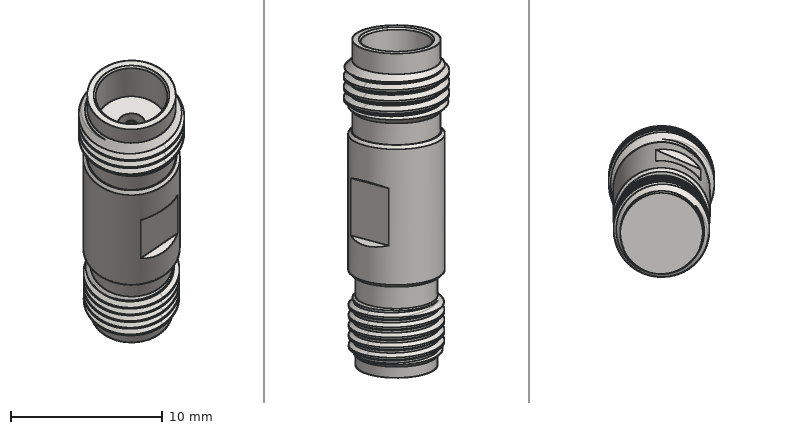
import cadquery as cq
import math

total_length = 22.74

lower_sleeve_radius = 2.73
lower_thread_radius = 6.35 / 2
lower_thread_root_radius = 2.83
lower_thread_pitch = 25.4 / 36
lower_thread_bottom = 0.77
lower_thread_top = 4.85
lower_groove_level = 3.2

body_radius = 3.21
body_bottom = 6.45
body_top = 16.37
body_chamfer = 0.22
flat_distance = 2.77
flat_cut_clearance = 0.3
flat_length = 4.0
flat_end_angle = 30

upper_sleeve_radius = 2.93
upper_thread_radius = 3.5
upper_thread_root_radius = 3.07
upper_thread_pitch = 0.75
upper_thread_bottom = 17.86
upper_thread_top = 21.3
upper_groove_level = 19.87

flank_angle = 30
crest_flat_in_pitches = 0.2
groove_overhang = 0.04

bore_radius = 2.37
bore_depth = 3.1
bore_chamfer = 0.13
line_radius = 1.85 / 2
line_depth = 1.0
contact_radius = 0.4
contact_chamfer = 0.08
contact_hole_radius = 0.23


def cylinder(radius, bottom, top):
    return cq.Workplane("XY").workplane(offset=bottom).circle(radius).extrude(top - bottom)


def thread_blank(sleeve_radius, crest_radius, bottom, top):
    """Crest cylinder with 45 degree ends running down to the sleeve."""
    return cylinder(crest_radius, bottom, top).faces("<Z or >Z").chamfer(crest_radius - sleeve_radius)


def groove_turn(crest_radius, root_radius, pitch, start):
    """One right-hand turn of the thread groove, starting on the +X side at the given height."""
    slope = math.tan(math.radians(flank_angle))
    crest_half_width = pitch * (1 - crest_flat_in_pitches) / 2
    root_half_width = crest_half_width - (crest_radius - root_radius) * slope
    outer_half_width = crest_half_width + groove_overhang * slope
    outer_radius = crest_radius + groove_overhang
    profile = cq.Workplane("XZ").polyline([
        (root_radius, start - root_half_width),
        (outer_radius, start - outer_half_width),
        (outer_radius, start + outer_half_width),
        (root_radius, start + root_half_width),
    ]).close()
    helix = cq.Wire.makeHelix(pitch, pitch, root_radius, cq.Vector(0, 0, start))
    return profile.sweep(cq.Workplane(obj=helix), isFrenet=True)


def threaded_band(sleeve_radius, crest_radius, root_radius, pitch, groove_level, bottom, top):
    """Thread whose groove is cut turn by turn and runs out past both ends of the blank."""
    band = thread_blank(sleeve_radius, crest_radius, bottom, top)
    turns_below = math.ceil((groove_level - bottom) / pitch)
    turns_above = math.ceil((top - groove_level) / pitch)
    for turn in range(-turns_below, turns_above):
        start = groove_level + turn * pitch
        band = band.cut(groove_turn(crest_radius, root_radius, pitch, start), clean=False)
    return band


def wrench_flat(side):
    """Pocket cutter with sloped ends; side is +1 for +X and -1 for -X."""
    middle = (body_bottom + body_top) / 2
    depth = body_radius + flat_cut_clearance - flat_distance
    floor_half = flat_length / 2
    mouth_half = floor_half + depth * math.tan(math.radians(flat_end_angle))
    return cq.Workplane("XZ").polyline([
        (side * flat_distance, middle - floor_half),
        (side * (flat_distance + depth), middle - mouth_half),
        (side * (flat_distance + depth), middle + mouth_half),
        (side * flat_distance, middle + floor_half),
    ]).close().extrude(body_radius, both=True)


def body():
    barrel = cylinder(body_radius, body_bottom, body_top).faces("<Z or >Z").chamfer(body_chamfer)
    for side in (-1, 1):
        barrel = barrel.cut(wrench_flat(side))
    return barrel


def mating_socket():
    """Chamfered bore with a coaxial recess around the hollow centre contact in its floor."""
    floor = total_length - bore_depth
    bore = cylinder(bore_radius, floor, total_length)
    lead_in = cq.Workplane("XY").workplane(offset=total_length).circle(bore_radius + bore_chamfer)
    lead_in = lead_in.workplane(offset=-bore_chamfer).circle(bore_radius).loft()
    recess = cylinder(line_radius, floor - line_depth, floor)
    contact = cylinder(contact_radius, floor - line_depth, floor).faces(">Z").chamfer(contact_chamfer)
    recess = recess.cut(contact)
    contact_hole = cylinder(contact_hole_radius, floor - line_depth, floor)
    return bore.union(lead_in).union(recess).union(contact_hole)


lower_thread = threaded_band(
    lower_sleeve_radius, lower_thread_radius, lower_thread_root_radius, lower_thread_pitch,
    lower_groove_level, lower_thread_bottom, lower_thread_top,
)
upper_thread = threaded_band(
    upper_sleeve_radius, upper_thread_radius, upper_thread_root_radius, upper_thread_pitch,
    upper_groove_level, upper_thread_bottom, upper_thread_top,
)
lower_sleeve = cylinder(lower_sleeve_radius, 0, body_bottom)
upper_sleeve = cylinder(upper_sleeve_radius, body_top, total_length)

result = body().union(lower_sleeve).union(upper_sleeve).union(lower_thread).union(upper_thread)
result = result.cut(mating_socket())